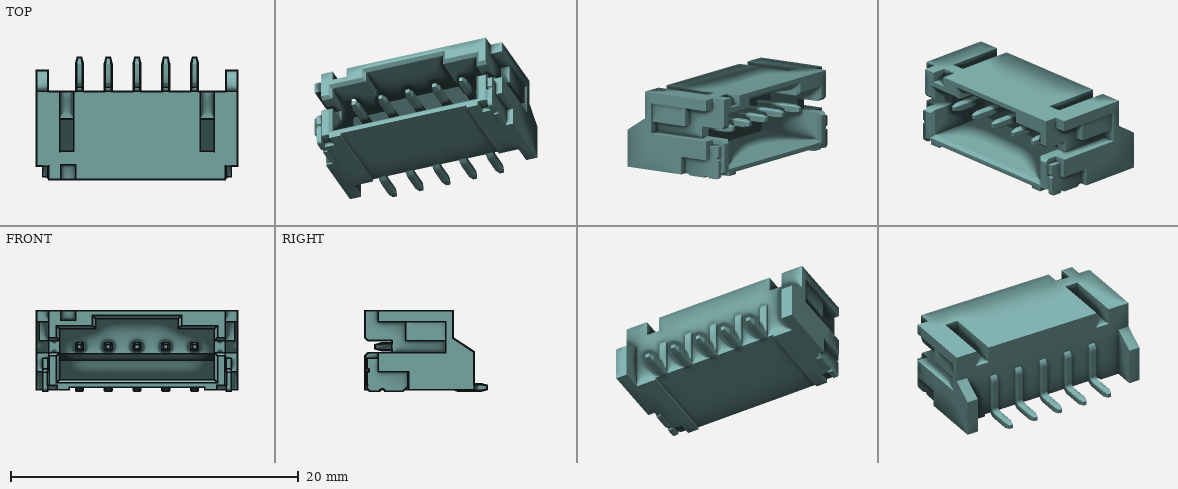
import cadquery as cq
import math

width = 14.0
height = 5.61
half_width = width / 2

housing_bottom = 0.1
center_bottom = 0.28
foot_inner_x = 4.7
back_wall_y = 6.13
ear_back_y = 7.59
ear_width = 0.83
ear_back_z = 2.75
slope_top_z = 3.71

core_half_width = 6.15
corner_step_y = 0.94
nose_base_half_width = 6.23
nose_chamfer_half_width = 6.09
corner_recess_x = 5.55
corner_recess_z = 0.42

cavity_half_width = 5.38
cavity_floor = 0.81
cavity_ceiling = 4.34
crown_half_width = 2.87
crown_ceiling = 5.05
cavity_depth = 4.19
toe_depth = 4.93
toe_high_z = 2.62
toe_low_z = 2.15
mouth_chamfer = 0.22

window_bottom = 2.69
slot_top = 3.51
slot_depth = 1.88
window_top = 4.85
window_depth = 5.63
pad_front_y = 2.85
pad_half_width = 6.8

roof_slot_inner_x = 4.4
roof_slot_front_y = 1.96
roof_opening_back_y = 4.23
roof_slot_floor = 4.42
notch_left_x = -5.29
notch_width = 1.04
notch_depth = 1.04
notch_floor = 4.93

pin_count = 5
pin_pitch = width / 7
pin_size = 0.53
pin_edge_chamfer = 0.07
pin_tip_size = 0.28
pin_tip_length = 0.48
pin_axis_z = 3.1
pin_front_y = 0.7
pin_back_y = 8.5
leg_axis_y = 6.15
upper_bend_radius = 0.35
lower_bend_radius = 0.49

plate_outer_x = 6.55
plate_inner_x = 6.22
plate_front_y = 0.18
plate_back_y = 2.98
plate_top_z = 2.31
plate_step_z = 1.36
plate_back_chamfer_y = 0.35
plate_back_chamfer_z = 0.32
plate_front_radius = 0.22
plate_relief_y = 1.2
plate_relief_radius = 0.17
plate_nick_z = 1.45
plate_nick_radius = 0.13
plate_pocket_back_y = 3.04
plate_pocket_floor_x = 6.47


def box(x0, x1, y0, y1, z0, z1):
    """Box between two opposite corners."""
    return cq.Workplane("XY").box(x1 - x0, y1 - y0, z1 - z0, centered=False).translate((x0, y0, z0))


def both_sides(solid):
    """The solid together with its mirror image across X = 0."""
    return solid.union(solid.mirror("YZ"))


def front_sketch(points):
    """Closed XZ outline whose positive extrusion runs toward +Y."""
    flipped = [(-x, z) for x, z in points]
    back_facing = cq.Plane(origin=(0, 0, 0), xDir=(-1, 0, 0), normal=(0, 1, 0))
    return cq.Workplane(back_facing).polyline(flipped).close()


def mirrored_outline(right_half):
    """Full outline from its right half, listed from bottom to top."""
    return right_half + [(-x, z) for x, z in reversed(right_half)]


def housing_body():
    profile = [
        (0, housing_bottom),
        (ear_back_y, housing_bottom),
        (ear_back_y, ear_back_z),
        (back_wall_y, slope_top_z),
        (back_wall_y, height),
        (0, height),
    ]
    body = cq.Workplane("YZ").polyline(profile).close().extrude(half_width, both=True)
    ear_x = half_width - ear_width
    body = body.cut(box(-ear_x, ear_x, back_wall_y, ear_back_y, 0, height))
    return body.cut(box(-foot_inner_x, foot_inner_x, 0, back_wall_y, 0, center_bottom))


def corner_cuts():
    """Material removed at the right front corner."""
    upper = box(core_half_width, half_width, 0, corner_step_y, plate_step_z, height)
    lower = box(nose_base_half_width, half_width, 0, corner_step_y, 0, plate_step_z)
    pocket = box(plate_pocket_floor_x, half_width, 0, plate_pocket_back_y, 0, plate_step_z)
    recess = box(corner_recess_x, half_width, 0, corner_step_y, 0, corner_recess_z)
    chamfer_leg = half_width - nose_chamfer_half_width
    edge_chamfer = (
        cq.Workplane("XY")
        .polyline([(nose_chamfer_half_width, 0), (half_width, 0), (half_width, chamfer_leg)])
        .close()
        .extrude(window_bottom)
    )
    return upper.union(lower).union(pocket).union(recess).union(edge_chamfer)


def mating_cavity():
    lower_half = [(cavity_half_width, cavity_floor)]
    slot_half = [
        (cavity_half_width, window_bottom),
        (half_width, window_bottom),
        (half_width, slot_top),
        (cavity_half_width, slot_top),
    ]
    upper_half = [
        (cavity_half_width, cavity_ceiling),
        (crown_half_width, cavity_ceiling),
        (crown_half_width, crown_ceiling),
    ]
    bore = front_sketch(mirrored_outline(lower_half + upper_half)).extrude(cavity_depth)
    mouth_outline = mirrored_outline(lower_half + slot_half + upper_half)
    inner_rim = front_sketch(mouth_outline).wires().val()
    outer_rim = inner_rim.offset2D(mouth_chamfer, "intersection")[0]
    inner_rim = inner_rim.translate(cq.Vector(0, mouth_chamfer, 0))
    mouth = cq.Workplane(cq.Solid.makeLoft([outer_rim, inner_rim], True))
    side_slot = box(-half_width, half_width, 0, slot_depth, window_bottom, slot_top)
    toe_profile = [
        (0, cavity_floor),
        (toe_depth, cavity_floor),
        (toe_depth, toe_low_z),
        (cavity_depth, toe_high_z),
        (0, toe_high_z),
    ]
    toe = cq.Workplane("YZ").polyline(toe_profile).close().extrude(cavity_half_width, both=True)
    toe = toe.intersect(box(-half_width, half_width, mouth_chamfer, toe_depth, 0, height))
    return bore.union(mouth).union(side_slot).union(toe)


def side_window():
    """Recess in the right flank, leaving a raised pad at its upper rear."""
    recess = box(core_half_width, half_width, 0, window_depth, window_bottom, window_top)
    pad = box(core_half_width, pad_half_width, pad_front_y, window_depth, slot_top, window_top)
    return recess.cut(pad)


def roof_slot():
    """Slot in the right of the roof, open to the cavity and to the rear."""
    inner, outer = roof_slot_inner_x, cavity_half_width
    opening = box(inner, outer, roof_slot_front_y, roof_opening_back_y, cavity_ceiling, height)
    channel = box(inner, outer, roof_slot_front_y, back_wall_y, roof_slot_floor, height)
    return opening.union(channel)


def pin_one_notch():
    return box(notch_left_x, notch_left_x + notch_width, 0, notch_depth, notch_floor, height)


def pin_section(plane):
    """Square wire section with chamfered corners."""
    half = pin_size / 2
    flat = half - pin_edge_chamfer
    corners = [
        (half, -flat),
        (half, flat),
        (flat, half),
        (-flat, half),
        (-half, flat),
        (-half, -flat),
        (-flat, -half),
        (flat, -half),
    ]
    return cq.Workplane(plane).polyline(corners).close()


def pin_tip(y, z, direction):
    """Tapered pin end whose base is at the given Y and Z, pointing along direction (+1 or -1)."""
    taper = math.degrees(math.atan2((pin_size - pin_tip_size) / 2, pin_tip_length))
    base = cq.Plane(origin=(0, y, z), xDir=(1, 0, 0), normal=(0, direction, 0))
    return pin_section(base).extrude(pin_tip_length, taper=taper)


def contact_pin():
    """Contact bent down behind the housing and out into a solder foot."""
    start_y = pin_front_y + pin_tip_length
    end_y = pin_back_y - pin_tip_length
    foot_axis_z = pin_size / 2
    diagonal = math.sqrt(0.5)
    upper_center = (leg_axis_y - upper_bend_radius, pin_axis_z - upper_bend_radius)
    lower_center = (leg_axis_y + lower_bend_radius, foot_axis_z + lower_bend_radius)
    upper_middle = tuple(c + upper_bend_radius * diagonal for c in upper_center)
    lower_middle = tuple(c - lower_bend_radius * diagonal for c in lower_center)
    path = (
        cq.Workplane("YZ")
        .moveTo(start_y, pin_axis_z)
        .lineTo(upper_center[0], pin_axis_z)
        .threePointArc(upper_middle, (leg_axis_y, upper_center[1]))
        .lineTo(leg_axis_y, lower_center[1])
        .threePointArc(lower_middle, (lower_center[0], foot_axis_z))
        .lineTo(end_y, foot_axis_z)
    )
    start = cq.Plane(origin=(0, start_y, pin_axis_z), xDir=(1, 0, 0), normal=(0, 1, 0))
    wire = pin_section(start).sweep(path)
    return wire.union(pin_tip(start_y, pin_axis_z, -1)).union(pin_tip(end_y, foot_axis_z, 1))


def solder_plate():
    """Right solder plate, an L-shaped blank with a half-round relief and a front nick."""
    outline = [
        (plate_front_y, 0),
        (plate_back_y - plate_back_chamfer_y, 0),
        (plate_back_y, plate_back_chamfer_z),
        (plate_back_y, plate_step_z),
        (corner_step_y, plate_step_z),
        (corner_step_y, plate_top_z),
        (plate_front_y, plate_top_z),
    ]
    thickness = plate_outer_x - plate_inner_x
    side = cq.Workplane("YZ", origin=(plate_inner_x, 0, 0))
    plate = side.polyline(outline).close().extrude(thickness)
    plate = plate.faces("<Y").edges("<Z").fillet(plate_front_radius)
    relief = side.center(plate_relief_y, 0).circle(plate_relief_radius).extrude(thickness)
    nick = side.center(plate_front_y, plate_nick_z).circle(plate_nick_radius).extrude(thickness)
    return plate.cut(relief).cut(nick)


result = housing_body()
result = result.cut(both_sides(corner_cuts()))
result = result.cut(mating_cavity())
result = result.cut(both_sides(side_window()))
result = result.cut(both_sides(roof_slot()))
result = result.cut(pin_one_notch())
result = result.union(both_sides(solder_plate()))

for index in range(pin_count):
    pin_x = (index - (pin_count - 1) / 2) * pin_pitch
    result = result.union(contact_pin().translate((pin_x, 0, 0)))